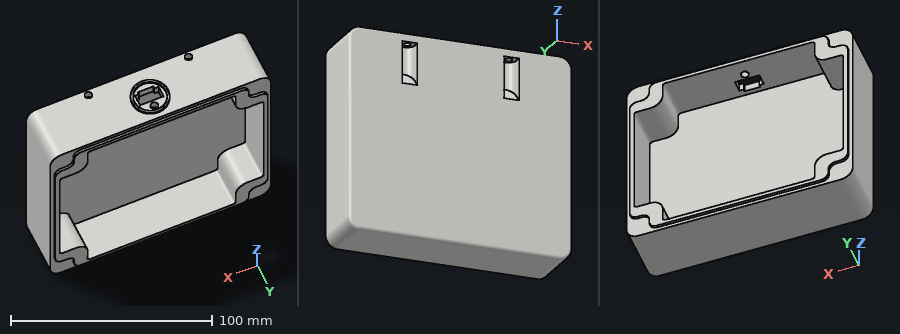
import cadquery as cq
import math

WIDTH = 120.4
BODY_HEIGHT = 108.4
BODY_DEPTH = 30.5
TOTAL_DEPTH = 31.8
CORNER_RADIUS = 6.5
FRONT_EDGE_RADIUS = 1.8

LIP_INSET = 2.2
LIP_THICKNESS = 2.4
NOTCH_RADIUS = 4.1
NOTCH_STRAIGHT = 2.2

POCKET_X = 27.3
POCKET_WIDTH = 8.1
POCKET_TOP_GAP = 4.8
POCKET_LENGTH = 22.4
POCKET_AXIS_DEPTH = 3.9
CORD_HOLE_DIAMETER = 3.7
POCKET_BACK_WALL = 2.0

COLLAR_OUTER_DIAMETER = 19.5
COLLAR_INNER_DIAMETER = 17.0
COLLAR_HEIGHT = 1.1
COLLAR_Y = 17.8
LATCH_HOLE_DIAMETER = 4.0
LATCH_HOLE_OFFSET = 5.3
PORT_WIDTH = 12.9
PORT_BACK = 2.2
PORT_FRONT = -4.0
KEY_WIDTH = 8.4
KEY_DEPTH = 1.3

POCKET_RADIUS = POCKET_WIDTH / 2
POCKET_DEPTH = POCKET_AXIS_DEPTH + POCKET_RADIUS
FLOOR_THICKNESS = POCKET_DEPTH + POCKET_BACK_WALL
CAVITY_INSET = LIP_INSET + LIP_THICKNESS


def make_body():
    """Rounded block with its front edge softened."""
    block = cq.Workplane("XY").box(WIDTH, BODY_DEPTH, BODY_HEIGHT, centered=(True, False, False))
    return block.edges("|Y").fillet(CORNER_RADIUS).faces("<Y").edges().fillet(FRONT_EDGE_RADIUS)


def notched_prism(inset, convex_radius, concave_radius, y_start, y_end):
    """Rectangle inset from the housing, with an S-shaped step around each corner, extruded along Y."""
    half_x = WIDTH / 2 - inset
    half_z = BODY_HEIGHT / 2 - inset
    step = concave_radius + NOTCH_STRAIGHT
    side = step + concave_radius
    end = side + convex_radius
    bend = math.sqrt(0.5)

    convex_mid = convex_radius * (1 - bend)
    concave_mid = step + concave_radius * bend
    corner = [
        (0, end),
        (convex_mid, side + convex_mid),
        (convex_radius, side),
        (step, side),
        (concave_mid, concave_mid),
        (side, step),
        (side, convex_radius),
        (side + convex_mid, convex_mid),
        (end, 0),
    ]

    outline = None
    for sign_x, sign_z in ((-1, 1), (1, 1), (1, -1), (-1, -1)):
        points = [(sign_x * (half_x - dx), sign_z * (half_z - dz)) for dx, dz in corner]
        if sign_x == sign_z:
            points.reverse()
        if outline is None:
            outline = cq.Workplane("XZ", origin=(0, y_start, BODY_HEIGHT / 2)).moveTo(*points[0])
        else:
            outline = outline.lineTo(*points[0])
        outline = outline.threePointArc(points[1], points[2]).lineTo(*points[3])
        outline = outline.threePointArc(points[4], points[5]).lineTo(*points[6])
        outline = outline.threePointArc(points[7], points[8])
    return outline.close().extrude(y_start - y_end)


def make_lip():
    return notched_prism(LIP_INSET, NOTCH_RADIUS, NOTCH_RADIUS, BODY_DEPTH, TOTAL_DEPTH)


def make_cavity():
    """Hollow open at the back, keeping an even wall inside the lip."""
    convex_radius = NOTCH_RADIUS - LIP_THICKNESS
    concave_radius = NOTCH_RADIUS + LIP_THICKNESS
    return notched_prism(CAVITY_INSET, convex_radius, concave_radius, FLOOR_THICKNESS, TOTAL_DEPTH)


def make_cord_pocket(x):
    """Round-bottomed slot with a 45 degree ramp at its lower end, plus the hole above it."""
    top = BODY_HEIGHT - POCKET_TOP_GAP
    bottom = top - POCKET_LENGTH
    channel = (
        cq.Workplane("XY", origin=(x, 0, bottom))
        .moveTo(-POCKET_RADIUS, 0)
        .lineTo(-POCKET_RADIUS, POCKET_AXIS_DEPTH)
        .threePointArc((0, POCKET_DEPTH), (POCKET_RADIUS, POCKET_AXIS_DEPTH))
        .lineTo(POCKET_RADIUS, 0)
        .close()
        .extrude(POCKET_LENGTH)
    )
    ramp = (
        cq.Workplane("YZ", origin=(x - POCKET_RADIUS, 0, bottom))
        .polyline([(0, 0), (POCKET_DEPTH, 0), (POCKET_DEPTH, POCKET_DEPTH)])
        .close()
        .extrude(POCKET_WIDTH)
    )
    cord_hole = (
        cq.Workplane("XY", origin=(x, POCKET_AXIS_DEPTH, top))
        .circle(CORD_HOLE_DIAMETER / 2)
        .extrude(POCKET_TOP_GAP)
    )
    return channel.cut(ramp).union(cord_hole)


def make_collar():
    return (
        cq.Workplane("XY", origin=(0, COLLAR_Y, BODY_HEIGHT))
        .circle(COLLAR_OUTER_DIAMETER / 2)
        .circle(COLLAR_INNER_DIAMETER / 2)
        .extrude(COLLAR_HEIGHT)
    )


def make_connector_openings():
    """Keyed port and round latch hole, both through the top wall into the cavity."""
    seat = cq.Workplane("XY", origin=(0, COLLAR_Y, BODY_HEIGHT))
    key_front = PORT_FRONT - KEY_DEPTH
    port = (
        seat.moveTo(-PORT_WIDTH / 2, PORT_BACK)
        .lineTo(PORT_WIDTH / 2, PORT_BACK)
        .lineTo(PORT_WIDTH / 2, PORT_FRONT)
        .lineTo(KEY_WIDTH / 2, PORT_FRONT)
        .lineTo(KEY_WIDTH / 2, key_front)
        .lineTo(-KEY_WIDTH / 2, key_front)
        .lineTo(-KEY_WIDTH / 2, PORT_FRONT)
        .lineTo(-PORT_WIDTH / 2, PORT_FRONT)
        .close()
        .extrude(-CAVITY_INSET)
    )
    latch_hole = seat.center(0, LATCH_HOLE_OFFSET).circle(LATCH_HOLE_DIAMETER / 2).extrude(-CAVITY_INSET)
    return port.union(latch_hole)


result = make_body().union(make_lip()).cut(make_cavity())
result = result.union(make_collar()).cut(make_connector_openings())
for pocket_x in (-POCKET_X, POCKET_X):
    result = result.cut(make_cord_pocket(pocket_x))